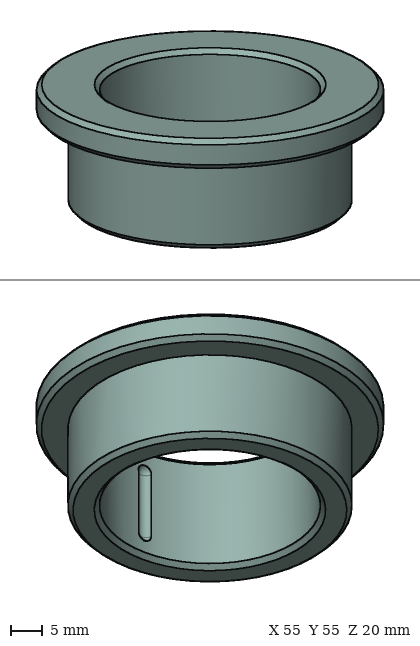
import cadquery as cq

flange_diameter = 55
body_diameter = 45.0
bore_diameter = 35.0
total_height = 20.0
flange_thickness = 5.0
edge_chamfer = 0.8
groove_radius = 1.25
groove_depth = 1.0
groove_straight_length = 11.5

flange_radius = flange_diameter / 2
body_radius = body_diameter / 2
bore_radius = bore_diameter / 2
flange_bottom = total_height - flange_thickness


def make_bushing():
    """Flanged sleeve revolved about Z, with all free edges chamfered."""
    profile = (
        cq.Workplane("XZ")
        .moveTo(bore_radius + edge_chamfer, 0)
        .lineTo(body_radius - edge_chamfer, 0)
        .lineTo(body_radius, edge_chamfer)
        .lineTo(body_radius, flange_bottom)
        .lineTo(flange_radius - edge_chamfer, flange_bottom)
        .lineTo(flange_radius, flange_bottom + edge_chamfer)
        .lineTo(flange_radius, total_height - edge_chamfer)
        .lineTo(flange_radius - edge_chamfer, total_height)
        .lineTo(bore_radius + edge_chamfer, total_height)
        .lineTo(bore_radius, total_height - edge_chamfer)
        .lineTo(bore_radius, edge_chamfer)
        .close()
    )
    return profile.revolve(360, (0, 0, 0), (0, 1, 0))


def make_groove_cutter():
    """Upright round-ended rod cutting a groove into the +X bore wall, at mid-height."""
    groove_axis_x = bore_radius + groove_depth - groove_radius
    straight_bottom = (total_height - groove_straight_length) / 2
    straight_top = straight_bottom + groove_straight_length
    half_section = (
        cq.Workplane("XZ", origin=(groove_axis_x, 0, 0))
        .moveTo(0, straight_bottom - groove_radius)
        .radiusArc((groove_radius, straight_bottom), -groove_radius)
        .lineTo(groove_radius, straight_top)
        .radiusArc((0, straight_top + groove_radius), -groove_radius)
        .close()
    )
    return half_section.revolve(360, (0, 0, 0), (0, 1, 0))


result = make_bushing().cut(make_groove_cutter())